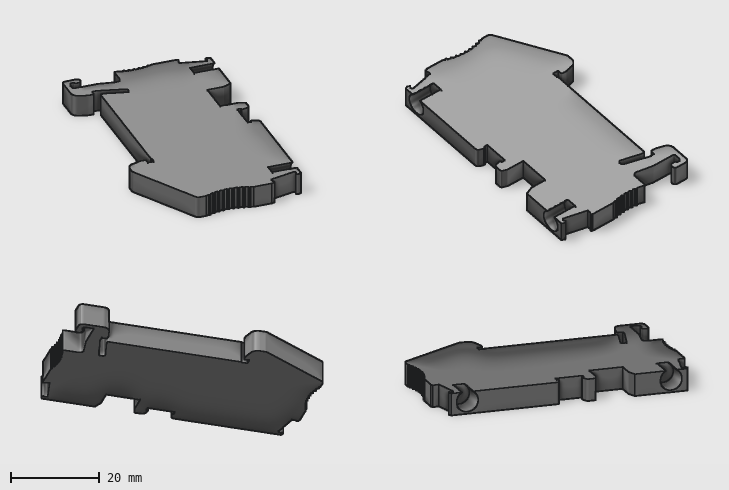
import cadquery as cq
import math

LENGTH = 60.4
HEIGHT = 35.2
THICKNESS = 5.2

HEAD_AXIS = 30.15

SHOULDER_Y = -22.6
RAIL_FACE_Y = -29.2
HOOK_Y = -30.45
LEFT_HOOK_X = 8.05
RIGHT_HOOK_X = 40.2
HOOK_DEPTH = 1.25
HOOK_LAND = 1.4
HOOK_TAPER = 0.95
HOOK_ROUND = 1.8
CORNER_ROUND = 0.25
SHOULDER_ROUND = 0.5
RELIEF_DEPTH = 0.2
RELIEF_LEFT_X = 40.2

SLOT_LEAN = 1.45
SLOT_RIGHT_X = 8.6
SLOT_TOP_WIDTH = 1.5
SLOT_ROUND = 0.55
SLOT_BEND_Y = -28.25
SLOT_BEND_ROUND = 0.6
LEG_OUTER_X = 3.85
LEG_BEND_Y = -27.9
LEG_TOP_X = 4.85
LEG_TOP_ROUND = 0.95
FOOT_LEFT_X = 0.2
FOOT_FLOOR_Y = -33.95
FOOT_ROUND = 0.9
TAB_TIP_Y = -31.05
TAB_WIDTH = 1.7
TAB_ROUND = 0.8
TAB_POCKET_ROUND = 0.8
LEG_FLOOR_ROUND = 0.35
TAB_NECK = 1.25
TAB_NECK_ROUND = 0.1
TAB_NECK_Y = -32.75

RAMP_ANGLE = 30.0
RAMP_START_X = 44.1
RAMP_ROUND = 1.2

GRIP_Y = -17.95
GRIP_RADIUS = 13.6
LEFT_GRIP_DEPTH = 0.8
RIGHT_GRIP_DEPTH = 1.25
LEFT_RIDGES = (-3, 2)
RIGHT_RIDGES = (-4, 4)
RIDGE_PITCH = 1.2
RIDGE_HEIGHT = 0.27
RIDGE_BASE = 0.6
RIDGE_TIP = 0.25
RIDGE_ROOT = 0.3

GROOVE_X = 5.85
GROOVE_OPENING = 2.55
GROOVE_RADIUS = 2.5
GROOVE_FLAT = 0.2
GROOVE_LENGTH = 6.0

LIP_X = 1.65
NOTCH_Y = -7.3
LIP_BEVEL = 0.35
LIP_POINT_Y = -0.8
LIP_TIP_Y = -1.3
LIP_ROUND = 0.09
NECK_Y = -1.0
NECK_ROUND = 0.35
NECK_X = 3.1
SILL_FOOT_X = 0.8
SILL_EDGE_X = 0.1
SILL_BEVEL = 0.7
SILL_ROUND = 0.09
SILL_RISE = 0.2

WINDOW_LEFT = 15.35
WINDOW_RIGHT = 23.3
WINDOW_DEPTH = 6.0
WINDOW_LEFT_FLARE = 0.85
WINDOW_LEFT_FLARE_Y = -2.0
WINDOW_RIGHT_FLARE = 0.55
WINDOW_RIGHT_FLARE_Y = -1.5
WINDOW_FLARE_ROUND = 0.6
WINDOW_RIM_ROUND = 0.5
RECESS_LEFT = 26.05
RECESS_RIGHT = 32.45
RECESS_DEPTH = 2.9
RECESS_LIP = 0.4
RECESS_LIP_TOP_Y = -1.5
RECESS_LIP_Y = -2.0
RECESS_RIM_LEAN = 0.1
RECESS_LEFT_ROUND = 0.8
RECESS_RIGHT_ROUND = 0.85
RIM_MARGIN = 1.2
OVERCUT = 0.6


def rounded_prism(corners):
    """Extrude a closed outline given as (x, y, corner radius)."""
    rounds = []
    count = len(corners)
    for i, (x, y, radius) in enumerate(corners):
        if radius == 0:
            rounds.append(((x, y), None, (x, y)))
            continue
        corner = cq.Vector(x, y)
        to_last = (cq.Vector(*corners[i - 1][:2]) - corner).normalized()
        to_next = (cq.Vector(*corners[(i + 1) % count][:2]) - corner).normalized()
        half_angle = to_last.getAngle(to_next) / 2
        setback = radius / math.tan(half_angle)
        bisector = (to_last + to_next).normalized()
        start = corner + to_last * setback
        end = corner + to_next * setback
        middle = corner + bisector * (radius / math.sin(half_angle) - radius)
        rounds.append((start.toTuple()[:2], middle.toTuple()[:2], end.toTuple()[:2]))

    outline = cq.Workplane("XY").moveTo(*rounds[0][2])
    for start, middle, end in rounds[1:] + rounds[:1]:
        outline = outline.lineTo(*start)
        if middle:
            outline = outline.threePointArc(middle, end)
    return outline.close().extrude(THICKNESS)


def mirror_about_head_axis(shape):
    return shape.mirror("YZ", (HEAD_AXIS, 0, 0))


def profile_plate():
    """Plate with the spring leg on the left and the fixed rail hook on the right."""
    slot_top_x = SLOT_RIGHT_X + SLOT_LEAN
    leg_inner_x = LEFT_HOOK_X - HOOK_DEPTH
    hook_recess_x = RIGHT_HOOK_X + HOOK_DEPTH
    hook_flank_y = HOOK_Y - HOOK_LAND
    ramp_end_y = -HEIGHT + (LENGTH - RAMP_START_X) * math.tan(math.radians(RAMP_ANGLE))
    tab_right_x = FOOT_LEFT_X + TAB_WIDTH
    return rounded_prism([
        (0, 0, 0),
        (LENGTH, 0, 0),
        (LENGTH, ramp_end_y, RAMP_ROUND),
        (RAMP_START_X, -HEIGHT, RAMP_ROUND),
        (RIGHT_HOOK_X + HOOK_TAPER, -HEIGHT, HOOK_ROUND),
        (RIGHT_HOOK_X, hook_flank_y, HOOK_ROUND),
        (RIGHT_HOOK_X, HOOK_Y, CORNER_ROUND),
        (hook_recess_x, HOOK_Y, 0),
        (hook_recess_x, RAIL_FACE_Y + RELIEF_DEPTH, 0),
        (RELIEF_LEFT_X, RAIL_FACE_Y + RELIEF_DEPTH, 0),
        (RELIEF_LEFT_X - RELIEF_DEPTH, RAIL_FACE_Y, 0),
        (SLOT_RIGHT_X, RAIL_FACE_Y, CORNER_ROUND),
        (SLOT_RIGHT_X, SLOT_BEND_Y, SLOT_BEND_ROUND),
        (slot_top_x, SHOULDER_Y, SLOT_ROUND),
        (slot_top_x - SLOT_TOP_WIDTH, SHOULDER_Y, SLOT_ROUND),
        (leg_inner_x, RAIL_FACE_Y, SLOT_BEND_ROUND),
        (leg_inner_x, HOOK_Y, 0),
        (LEFT_HOOK_X, HOOK_Y, CORNER_ROUND),
        (LEFT_HOOK_X, hook_flank_y, HOOK_ROUND),
        (LEFT_HOOK_X - HOOK_TAPER, -HEIGHT, HOOK_ROUND),
        (FOOT_LEFT_X, -HEIGHT, FOOT_ROUND),
        (FOOT_LEFT_X, TAB_TIP_Y, TAB_ROUND),
        (tab_right_x, TAB_TIP_Y, TAB_ROUND),
        (tab_right_x, TAB_NECK_Y, CORNER_ROUND),
        (FOOT_LEFT_X + TAB_NECK, TAB_NECK_Y, TAB_NECK_ROUND),
        (FOOT_LEFT_X + TAB_NECK, FOOT_FLOOR_Y, TAB_POCKET_ROUND),
        (LEG_OUTER_X, FOOT_FLOOR_Y, LEG_FLOOR_ROUND),
        (LEG_OUTER_X, LEG_BEND_Y, 0),
        (LEG_TOP_X, SHOULDER_Y, LEG_TOP_ROUND),
        (0, SHOULDER_Y, SHOULDER_ROUND),
    ])


def side_notch():
    """Cutter for the hooked notch beside the head on the left."""
    sill_y = NOTCH_Y + SILL_RISE
    return rounded_prism([
        (-OVERCUT, OVERCUT, 0),
        (LIP_X + LIP_BEVEL, OVERCUT, 0),
        (LIP_X + LIP_BEVEL, 0, LIP_ROUND),
        (LIP_X, LIP_POINT_Y, LIP_ROUND),
        (LIP_X + LIP_BEVEL, LIP_TIP_Y, LIP_ROUND),
        (LIP_X + 2 * LIP_BEVEL, NECK_Y, NECK_ROUND),
        (NECK_X, NECK_Y, NECK_ROUND),
        (LIP_X, NOTCH_Y, 0),
        (SILL_FOOT_X, NOTCH_Y, SILL_ROUND),
        (SILL_FOOT_X - SILL_RISE, sill_y, SILL_ROUND),
        (SILL_EDGE_X, sill_y, 0),
        (-SILL_EDGE_X, sill_y - SILL_BEVEL, 0),
        (-OVERCUT, sill_y - SILL_BEVEL, 0),
    ])


def marker_groove():
    """Cutter for the left groove: two round walls, narrowing at the front face, and a thin flat floor."""
    half_flat = GROOVE_FLAT / 2
    half_opening = GROOVE_OPENING / 2
    half_width = GROOVE_RADIUS + half_flat
    centre_z = THICKNESS - math.sqrt(GROOVE_RADIUS ** 2 - (half_opening - half_flat) ** 2)
    floor_z = centre_z - GROOVE_RADIUS
    return (
        cq.Workplane("XZ")
        .moveTo(GROOVE_X - half_opening, THICKNESS)
        .threePointArc((GROOVE_X - half_width, centre_z), (GROOVE_X - half_flat, floor_z))
        .lineTo(GROOVE_X + half_flat, floor_z)
        .threePointArc((GROOVE_X + half_width, centre_z), (GROOVE_X + half_opening, THICKNESS))
        .close()
        .extrude(GROOVE_LENGTH)
    )


def head_window():
    """Cutter for the deep opening with flared sides."""
    return rounded_prism([
        (WINDOW_LEFT - WINDOW_LEFT_FLARE, OVERCUT, 0),
        (WINDOW_LEFT - WINDOW_LEFT_FLARE, 0, 0),
        (WINDOW_LEFT, WINDOW_LEFT_FLARE_Y, WINDOW_FLARE_ROUND),
        (WINDOW_LEFT, -WINDOW_DEPTH, 0),
        (WINDOW_RIGHT, -WINDOW_DEPTH, 0),
        (WINDOW_RIGHT, WINDOW_RIGHT_FLARE_Y, WINDOW_FLARE_ROUND),
        (WINDOW_RIGHT + WINDOW_RIGHT_FLARE, 0, WINDOW_RIM_ROUND),
        (WINDOW_RIGHT + RIM_MARGIN, 0, 0),
        (WINDOW_RIGHT + RIM_MARGIN, OVERCUT, 0),
    ])


def head_recess():
    """Cutter for the shallow recess with a snap lip on both sides."""
    left_lip = RECESS_LEFT + RECESS_LIP
    right_lip = RECESS_RIGHT - RECESS_LIP
    return rounded_prism([
        (RECESS_LEFT - RIM_MARGIN, OVERCUT, 0),
        (RECESS_LEFT - RIM_MARGIN, 0, 0),
        (RECESS_LEFT, 0, RECESS_LEFT_ROUND),
        (left_lip, RECESS_LIP_TOP_Y, 0),
        (left_lip, RECESS_LIP_Y, 0),
        (RECESS_LEFT, RECESS_LIP_Y, 0),
        (RECESS_LEFT, -RECESS_DEPTH, 0),
        (RECESS_RIGHT, -RECESS_DEPTH, 0),
        (RECESS_RIGHT, RECESS_LIP_Y, 0),
        (right_lip, RECESS_LIP_Y, 0),
        (right_lip, RECESS_LIP_TOP_Y, 0),
        (RECESS_RIGHT + RECESS_RIM_LEAN, 0, RECESS_RIGHT_ROUND),
        (RECESS_RIGHT + RIM_MARGIN, 0, 0),
        (RECESS_RIGHT + RIM_MARGIN, OVERCUT, 0),
    ])


def add_grip(plate, edge_x, inward, depth, first_ridge, last_ridge):
    """Hollow one end with an arc and set ridges on it; inward is +1 or -1 along X."""
    centre_x = edge_x + inward * (depth - GRIP_RADIUS)
    hollow = cq.Workplane("XY").center(centre_x, GRIP_Y).circle(GRIP_RADIUS).extrude(THICKNESS)
    plate = plate.cut(hollow)
    for index in range(first_ridge, last_ridge + 1):
        offset = index * RIDGE_PITCH
        base_x = centre_x + inward * math.sqrt(GRIP_RADIUS ** 2 - offset ** 2)
        y = GRIP_Y - offset
        root_x = base_x + inward * RIDGE_ROOT
        tip_x = base_x - inward * RIDGE_HEIGHT
        ridge = rounded_prism([
            (root_x, y - RIDGE_BASE / 2, 0),
            (root_x, y + RIDGE_BASE / 2, 0),
            (base_x, y + RIDGE_BASE / 2, 0),
            (tip_x, y + RIDGE_TIP / 2, 0),
            (tip_x, y - RIDGE_TIP / 2, 0),
            (base_x, y - RIDGE_BASE / 2, 0),
        ])
        plate = plate.union(ridge)
    return plate


result = profile_plate()
result = add_grip(result, 0, 1, LEFT_GRIP_DEPTH, *LEFT_RIDGES)
result = add_grip(result, LENGTH, -1, RIGHT_GRIP_DEPTH, *RIGHT_RIDGES)
for cutter in (side_notch(), marker_groove()):
    result = result.cut(cutter).cut(mirror_about_head_axis(cutter))
result = result.cut(head_window()).cut(head_recess())